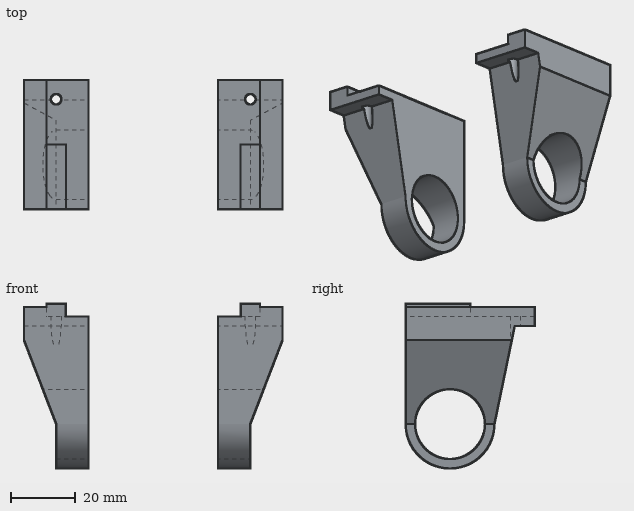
import cadquery as cq

overall_width = 80.0
overall_height = 51.0
bracket_width = 20.0
bracket_length = 40.0

bore_diameter = 21.5
ring_wall = 3.0
ring_width = 10.0
ring_radius = bore_diameter / 2 + ring_wall

curb_height = 3.0
rail_rise = 1.0
rail_top = overall_height - ring_radius
curb_top = rail_top - rail_rise
shelf_height = curb_top - curb_height
taper_top = 26.0

flange_depth = 6.0
flange_bottom = curb_top - flange_depth
back_slope_offset = 5.0

curb_width = 7.0
rail_width = 6.0
rail_length = 20.0

screw_hole_diameter = 3.2
screw_hole_from_outer = 10.0
screw_hole_from_back = 6.0

outer_x = -overall_width / 2
inner_x = outer_x + bracket_width
ring_outer_x = inner_x - ring_width
front_y = -ring_radius
back_y = front_y + bracket_length
back_slope_top_y = back_y - back_slope_offset


def back_slope_y(height):
    """Y of the sloping back, which runs from the curb top down to the ring."""
    return ring_radius + (back_slope_top_y - ring_radius) * height / curb_top


def make_side_profile():
    """Side outline in YZ, extruded over the full bracket width."""
    return (
        cq.Workplane("YZ", origin=(outer_x, 0, 0))
        .moveTo(front_y, 0)
        .lineTo(front_y, rail_top)
        .lineTo(back_y, rail_top)
        .lineTo(back_y, flange_bottom)
        .lineTo(back_slope_y(flange_bottom), flange_bottom)
        .lineTo(ring_radius, 0)
        .threePointArc((0, -ring_radius), (front_y, 0))
        .close()
        .extrude(bracket_width)
    )


def make_front_profile():
    """Front outline in XZ with tapered outer side, extruded along the length."""
    rail_inner_x = outer_x + curb_width + rail_width
    return (
        cq.Workplane("XZ", origin=(0, front_y, 0))
        .moveTo(outer_x, curb_top)
        .lineTo(outer_x + curb_width, curb_top)
        .lineTo(outer_x + curb_width, rail_top)
        .lineTo(rail_inner_x, rail_top)
        .lineTo(rail_inner_x, shelf_height)
        .lineTo(inner_x, shelf_height)
        .lineTo(inner_x, -ring_radius)
        .lineTo(ring_outer_x, -ring_radius)
        .lineTo(ring_outer_x, 0)
        .lineTo(outer_x, taper_top)
        .close()
        .extrude(-bracket_length)
    )


def make_rail_clearance():
    """Space behind the rail, down to the shelf."""
    clearance = cq.Workplane("XY").box(
        rail_width,
        bracket_length - rail_length,
        rail_top - shelf_height,
        centered=False,
    )
    return clearance.translate((outer_x + curb_width, front_y + rail_length, shelf_height))


def make_bore():
    """Round bore along the ring axis."""
    return (
        cq.Workplane("YZ", origin=(outer_x, 0, 0))
        .circle(bore_diameter / 2)
        .extrude(bracket_width)
    )


def make_screw_hole():
    """Vertical hole through the flange and the sloping back below it."""
    return (
        cq.Workplane("XY")
        .center(outer_x + screw_hole_from_outer, back_y - screw_hole_from_back)
        .circle(screw_hole_diameter / 2)
        .extrude(rail_top)
    )


def make_left_bracket():
    """Bracket on the -X side, with its shelf facing the other bracket."""
    body = make_side_profile().intersect(make_front_profile())
    return body.cut(make_rail_clearance()).cut(make_bore()).cut(make_screw_hole())


left_bracket = make_left_bracket()
right_bracket = left_bracket.mirror("YZ")

result = cq.Compound.makeCompound([left_bracket.solids().val(), right_bracket.solids().val()])